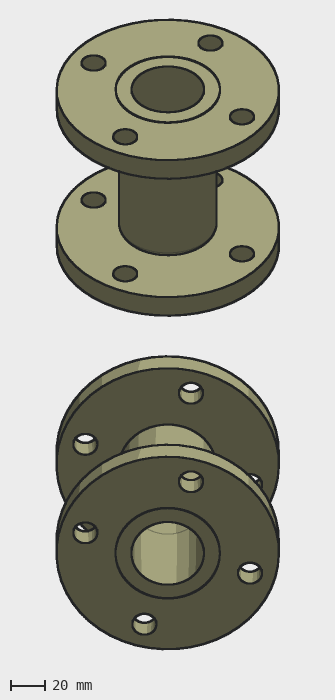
import cadquery as cq

flange_diameter = 130.0
overall_height = 118.0

flange_thickness = 14.4
raised_face_diameter = 61.0
raised_face_height = 0.4

bolt_circle_diameter = 100.0
bolt_hole_diameter = 14.0
bolt_hole_count = 4
first_bolt_angle = 45.0

body_diameter = 57.2
body_end_radius = 3.6
bore_diameter = 42.4

body_length = overall_height - 2 * flange_thickness


def make_body():
    """Tube between the flanges, rounded where it meets them."""
    body = cq.Workplane("XY").circle(body_diameter / 2).extrude(body_length / 2, both=True)
    return body.faces("|Z").edges().fillet(body_end_radius)


def make_top_flange():
    """Flange disc with its bolt holes and a slightly raised sealing face."""
    disc_thickness = flange_thickness - raised_face_height
    flange = (
        cq.Workplane("XY")
        .workplane(offset=body_length / 2)
        .circle(flange_diameter / 2)
        .extrude(disc_thickness)
        .faces(">Z")
        .workplane()
        .polarArray(bolt_circle_diameter / 2, first_bolt_angle, 360, bolt_hole_count)
        .hole(bolt_hole_diameter)
    )
    raised_face = (
        cq.Workplane("XY")
        .workplane(offset=body_length / 2 + disc_thickness)
        .circle(raised_face_diameter / 2)
        .extrude(raised_face_height)
    )
    return flange.union(raised_face)


def make_bore():
    """Straight passage through both flanges and the body."""
    return cq.Workplane("XY").circle(bore_diameter / 2).extrude(overall_height / 2, both=True)


top_flange = make_top_flange()
bottom_flange = top_flange.mirror("XY")
result = make_body().union(top_flange).union(bottom_flange).cut(make_bore())